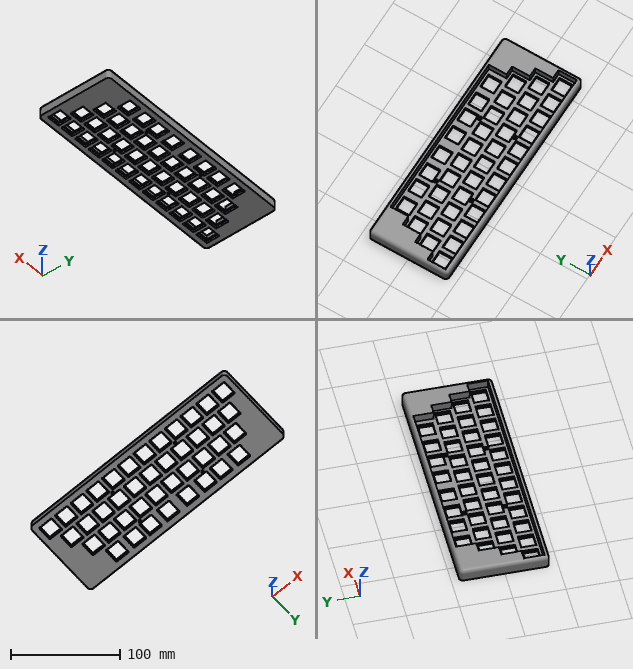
import cadquery as cq

length = 236.8
width = 84.5
height = 12.3
corner_radius = 4.0
top_radius = 3.8

keys_wide = 12
field_length = 228.5
pitch = field_length / keys_wide

row_keys = [
    [1.25, 1, 1, 1.25, 1.25, 1, 1, 1.25],
    [1] * 10,
    [1] * 11,
    [1] * keys_wide,
]

plate_thickness = 4.3
pocket_depth = height - plate_thickness
clearance = 0.2

bar = 5.0
cutout = pitch - bar
lip = 1.5
undercut = 0.35
relief = cutout + 2 * undercut

screw_x = 2 * pitch
screw_y = pitch
screw_diameter = 2.4
head_diameter = 4.0
head_depth = 1.0


def make_case():
    """Solid block with rounded corners and a fillet around its top edge."""
    block = cq.Workplane("XY").box(length, width, height, centered=(True, True, False))
    return block.edges("|Z").fillet(corner_radius).faces(">Z").edges().fillet(top_radius)


def row_centre_y(row):
    return (len(row_keys) / 2 - row - 0.5) * pitch


def make_pocket():
    """Stepped recess: one strip for each row, as long as its keys plus the clearance."""
    strip_width = pitch + 2 * clearance
    pocket = cq.Workplane("XY")
    for row, keys in enumerate(row_keys):
        strip_length = sum(keys) * pitch + 2 * clearance
        strip = cq.Workplane("XY").box(strip_length, strip_width, pocket_depth, centered=(True, True, False))
        pocket = pocket.union(strip.translate((0, row_centre_y(row), plate_thickness)))
    return pocket


def key_centres():
    """Centre of every switch opening, with each row centred on the case."""
    centres = []
    for row, keys in enumerate(row_keys):
        left = -sum(keys) / 2
        for key in keys:
            centres.append(((left + key / 2) * pitch, row_centre_y(row)))
            left += key
    return centres


def make_key_openings():
    """Square through openings, slightly wider below the lip that holds the switch."""
    centres = cq.Workplane("XY").pushPoints(key_centres())
    openings = centres.rect(cutout, cutout).extrude(plate_thickness)
    reliefs = centres.rect(relief, relief).extrude(plate_thickness - lip)
    return openings.union(reliefs)


def make_screw_holes():
    """Through holes with a conical countersink at the plate surface."""
    shank = cq.Workplane("XY").circle(screw_diameter / 2).extrude(plate_thickness)
    countersink = (
        cq.Workplane("XY", origin=(0, 0, plate_thickness - head_depth))
        .circle(screw_diameter / 2)
        .workplane(offset=head_depth)
        .circle(head_diameter / 2)
        .loft()
    )
    hole = shank.union(countersink)
    holes = cq.Workplane("XY")
    for x in (-screw_x, screw_x):
        for y in (-screw_y, screw_y):
            holes = holes.union(hole.translate((x, y, 0)))
    return holes


result = make_case().cut(make_pocket()).cut(make_key_openings()).cut(make_screw_holes())